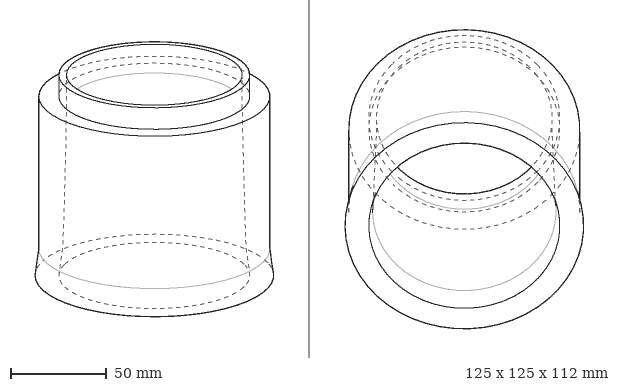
import cadquery as cq

base_diameter = 125.0
body_diameter = 121.0
collar_diameter = 100.0
total_height = 112.0
collar_height = 12.0
flare_height = 15.0

bore_diameter = 92.0
bore_length = 16.0
taper_end_diameter = 96.0

base_radius = base_diameter / 2
body_radius = body_diameter / 2
collar_radius = collar_diameter / 2
bore_radius = bore_diameter / 2
taper_end_radius = taper_end_diameter / 2
mouth_radius = taper_end_radius + base_radius - body_radius
shoulder_z = total_height - collar_height
bore_bottom_z = total_height - bore_length

half_section = (
    cq.Workplane("XZ")
    .moveTo(mouth_radius, 0)
    .lineTo(base_radius, 0)
    .lineTo(body_radius, flare_height)
    .lineTo(body_radius, shoulder_z)
    .lineTo(collar_radius, shoulder_z)
    .lineTo(collar_radius, total_height)
    .lineTo(bore_radius, total_height)
    .lineTo(bore_radius, bore_bottom_z)
    .lineTo(taper_end_radius, flare_height)
    .close()
)

result = half_section.revolve(360, (0, 0, 0), (0, 1, 0))